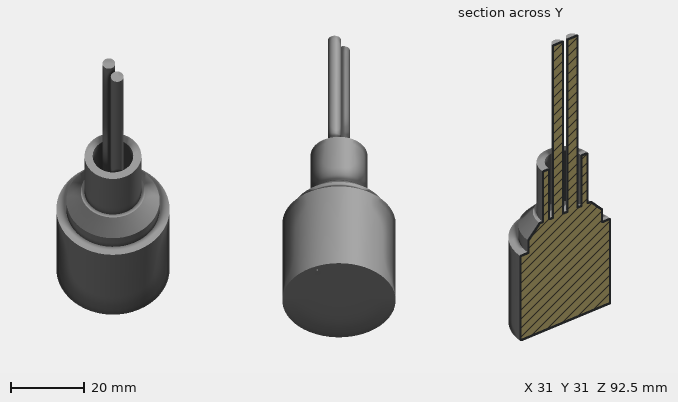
import cadquery as cq

total_height = 92.5

base_diameter = 31.0
base_height = 27.75
collar_diameter = 25.5
collar_height = 4.0
cone_top_diameter = 17.6
cone_height = 4.2
neck_diameter = 15.5
neck_height = 16.5
bore_diameter = 11.1

wire_diameter = 3.5
wire_spacing = 5.0

pip_diameter = 0.5
pip_height = 0.3
pip_x = 13.9
pip_y = 0.9

base_bottom = pip_height
base_top = base_bottom + base_height
collar_top = base_top + collar_height
cone_top = collar_top + cone_height
neck_top = cone_top + neck_height
bore_floor = cone_top


def cylinder(diameter, bottom, top, x=0, y=0):
    """Upright cylinder between two levels."""
    disc = cq.Workplane("XY", origin=(x, y, bottom)).circle(diameter / 2)
    return disc.extrude(top - bottom)


def stepped_body():
    """Base, collar, cone and neck turned as one profile."""
    profile = [
        (0, base_bottom),
        (base_diameter / 2, base_bottom),
        (base_diameter / 2, base_top),
        (collar_diameter / 2, base_top),
        (collar_diameter / 2, collar_top),
        (cone_top_diameter / 2, cone_top),
        (neck_diameter / 2, cone_top),
        (neck_diameter / 2, neck_top),
        (0, neck_top),
    ]
    outline = cq.Workplane("XZ").polyline(profile).close()
    return outline.revolve(360, (0, 0), (0, 1))


result = stepped_body().cut(cylinder(bore_diameter, bore_floor, neck_top))

for side in (-1, 1):
    wire_x = side * wire_spacing / 2
    result = result.union(cylinder(wire_diameter, bore_floor, total_height, wire_x))

result = result.union(cylinder(pip_diameter, 0, base_bottom, pip_x, pip_y))